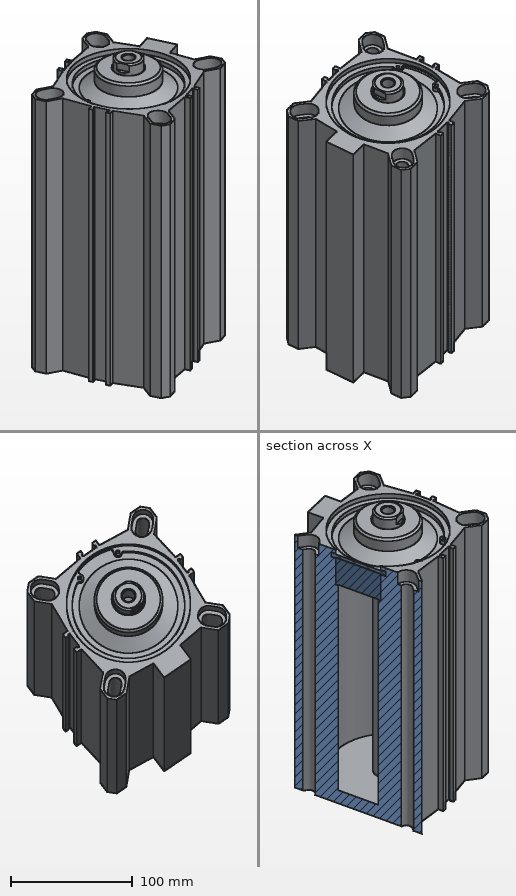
import cadquery as cq
import math


total_height = 276.5
housing_height = 256.0
neck_top = 266.8

half_width = 62.0
post_outer = 56.5
post_inner = 46.5
flank_end = 36.2
wall_at_flank = half_width - (post_inner - flank_end)
wall_at_rib = 54.5
rib_outer = 9.7
rib_inner = 5.8
rib_tip = 59.5
lip_depth = 3.3
lip_overhang = 1.0
rib_embed = 2.8
port_half_width = 13.5
port_face = 69.0

slot_offset = 49.2
slot_pitch = 6.4
slot_diameter = 10.2
counterbore_diameter = 17.1
counterbore_depth = 12.0

end_wall = 13.8
bore_diameter = 100.0
mouth_diameter = 101.8
groove_diameter = 106.2
ring_inner_diameter = 92.4
ring_top = housing_height - 4.5
ring_thickness = 4.0
ring_bottom = ring_top - ring_thickness
lug_x = 19.4
lug_y = -42.0
lug_diameter = 6.5
lug_hole_diameter = 3.0
web_rise = 2.2
gap_half_width = 17.0

cover_bottom = 221.2
cone_base_diameter = 81.0
cone_top = 254.7
neck_diameter = 56.0
neck_chamfer = 2.0
rod_hole_mouth_diameter = 28.0

rod_diameter = 25.5
rod_tip_diameter = 21.5
rod_tip_height = 1.0
flat_width = 22.7
flat_length = 7.0
thread_diameter = 10.2
thread_mouth_diameter = 12.0
thread_depth = 20.0
drill_point_half_angle = 59.0


def cylinder(diameter, bottom, top):
    return cq.Workplane("XY").workplane(offset=bottom).circle(diameter / 2).extrude(top - bottom)


def turned(points):
    """Solid of revolution about Z from (radius, height) points."""
    return cq.Workplane("XZ").polyline(points).close().revolve(360, (0, 0), (0, 1))


def housing_outline():
    """Points around the body: one corner post and its flanks, turned to all four corners."""
    quarter = [
        (wall_at_rib, rib_outer),
        (wall_at_flank, flank_end),
        (half_width, post_inner),
        (half_width, post_outer),
        (post_outer, half_width),
        (post_inner, half_width),
        (flank_end, wall_at_flank),
        (rib_outer, wall_at_rib),
    ]
    points = []
    for cosine, sine in ((1, 0), (0, 1), (-1, 0), (0, -1)):
        points += [(x * cosine - y * sine, x * sine + y * cosine) for x, y in quarter]
    return points


def sensor_rib(angle, side):
    """Full-length L-shaped rib; the lip points toward the middle of the wall."""
    neck_inner = rib_inner + lip_overhang
    lip_base = rib_tip - lip_depth
    root = wall_at_rib - rib_embed
    profile = [
        (root, side * rib_outer),
        (rib_tip, side * rib_outer),
        (rib_tip, side * rib_inner),
        (lip_base, side * rib_inner),
        (lip_base, side * neck_inner),
        (root, side * neck_inner),
    ]
    rib = cq.Workplane("XY").polyline(profile).close().extrude(housing_height)
    return rib.rotate((0, 0, 0), (0, 0, 1), angle)


def corner_slot(angle, diameter, bottom):
    slot = (
        cq.Workplane("XY")
        .workplane(offset=bottom)
        .center(slot_offset * math.sqrt(2), 0)
        .slot2D(slot_pitch + diameter, diameter)
        .extrude(housing_height - bottom)
    )
    return slot.rotate((0, 0, 0), (0, 0, 1), angle)


def make_housing():
    body = cq.Workplane("XY").polyline(housing_outline()).close().extrude(housing_height)
    for angle in (0, 180, 270):
        for side in (-1, 1):
            body = body.union(sensor_rib(angle, side))
    port_block = cq.Workplane("XY").box(
        2 * port_half_width, port_face, housing_height, centered=(True, False, False)
    )
    body = body.union(port_block)
    for angle in (45, 135, 225, 315):
        body = body.cut(corner_slot(angle, slot_diameter, 0))
        body = body.cut(corner_slot(angle, counterbore_diameter, housing_height - counterbore_depth))
    body = body.cut(cylinder(bore_diameter, end_wall, housing_height))
    body = body.cut(cylinder(mouth_diameter, cover_bottom, housing_height))
    return body.cut(cylinder(groove_diameter, ring_bottom, ring_top))


def make_retaining_ring():
    """Internal snap ring with plier-hole lugs at both ends of its -Y gap."""
    ring = cylinder(groove_diameter, ring_bottom, ring_top)
    ring = ring.cut(cylinder(ring_inner_diameter, ring_bottom, ring_top))
    plane = cq.Workplane("XY").workplane(offset=ring_bottom)
    gap = (
        plane.center(0, -groove_diameter / 2)
        .rect(2 * gap_half_width, groove_diameter)
        .extrude(ring_thickness)
    )
    ring = ring.cut(gap)
    web_edge = lug_y + web_rise
    web_end = math.sqrt((ring_inner_diameter / 2) ** 2 - web_edge ** 2)
    for side in (-1, 1):
        lug = cylinder(lug_diameter, ring_bottom, ring_top).translate((side * lug_x, lug_y, 0))
        web = (
            plane.moveTo(side * lug_x, web_edge)
            .lineTo(side * web_end, web_edge)
            .lineTo(side * lug_x, lug_y - lug_diameter / 2)
            .close()
            .extrude(ring_thickness)
        )
        hole = cylinder(lug_hole_diameter, ring_bottom, ring_top).translate((side * lug_x, lug_y, 0))
        ring = ring.union(lug).union(web).cut(hole)
    return ring


def make_cover():
    rod_radius = rod_diameter / 2
    mouth_radius = rod_hole_mouth_diameter / 2
    neck_radius = neck_diameter / 2
    return turned([
        (rod_radius, cover_bottom),
        (mouth_diameter / 2, cover_bottom),
        (mouth_diameter / 2, ring_bottom),
        (cone_base_diameter / 2, ring_bottom),
        (neck_radius, cone_top),
        (neck_radius, neck_top - neck_chamfer),
        (neck_radius - neck_chamfer, neck_top),
        (mouth_radius, neck_top),
        (rod_radius, neck_top - (mouth_radius - rod_radius)),
    ])


def wrench_flat_cut(side):
    """Material outside one flat, run out to the rod surface by a 45 degree slope."""
    flat_y = flat_width / 2
    flat_bottom = total_height - flat_length
    run_out = rod_diameter - flat_y
    profile = [
        (side * flat_y, total_height),
        (side * flat_y, flat_bottom),
        (side * (flat_y + run_out), flat_bottom - run_out),
        (side * (flat_y + run_out), total_height),
    ]
    return cq.Workplane("YZ").polyline(profile).close().extrude(rod_diameter, both=True)


def make_rod():
    rod_radius = rod_diameter / 2
    thread_radius = thread_diameter / 2
    mouth_radius = thread_mouth_diameter / 2
    thread_bottom = total_height - thread_depth
    point_height = thread_radius / math.tan(math.radians(drill_point_half_angle))
    rod = turned([
        (0, end_wall),
        (rod_radius, end_wall),
        (rod_radius, total_height - rod_tip_height),
        (rod_tip_diameter / 2, total_height),
        (mouth_radius, total_height),
        (thread_radius, total_height - (mouth_radius - thread_radius)),
        (thread_radius, thread_bottom),
        (0, thread_bottom - point_height),
    ])
    for side in (-1, 1):
        rod = rod.cut(wrench_flat_cut(side))
    return rod


housing = make_housing()
retaining_ring = make_retaining_ring()
cover = make_cover()
rod = make_rod()

result = cq.Compound.makeCompound([housing.val(), retaining_ring.val(), cover.val(), rod.val()])